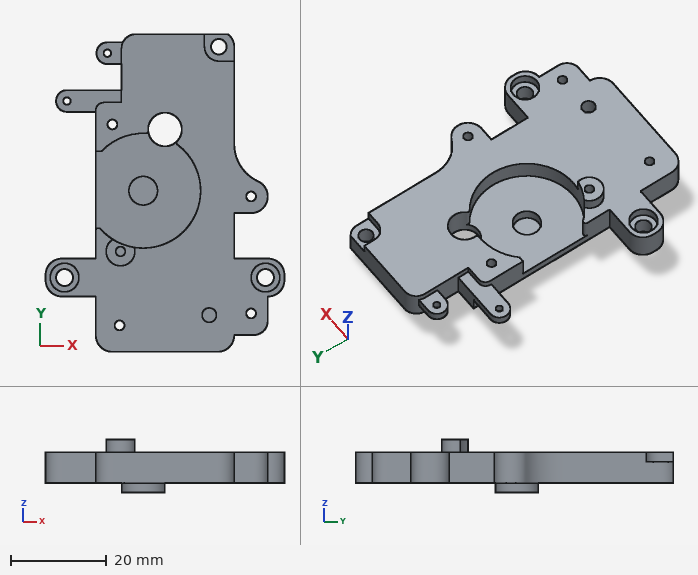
import cadquery as cq
import math


plate_height = 6.45
plate_width = 29.0
plate_length = 66.45
plate_corner_radius = 3.5
step_x = 5.4
step_corner_radius = 3.0

step_y = 52.15
step_round_radius = 1.75

ear_radius = 3.5
ear_width = 8.0
ear_y = 15.55
ear_hole_to_end = 4.0
ear_hole_xs = (-6.5, 35.5)
ear_hole_diameter = 3.5
counterbore_diameter = 6.0
counterbore_depth = 2.2

side_lug_x = 32.5
side_lug_y = 32.5
side_lug_radius = 3.5
side_lug_blend_radius = 8.5

block_right = side_lug_x + side_lug_radius
block_bottom = 3.5
block_corner_radius = 3.0

thin_lug_radius = 2.3
thin_lug_bottom = 3.0
thin_lug_top = 5.0
thin_lug_hole_diameter = 1.5
short_lug_center = (2.45, 62.45)
long_lug_center = (-6.0, 52.45)

corner_hole_center = (25.75, 63.8)
corner_hole_diameter = 3.2
corner_seat_radius = 3.0
corner_seat_depth = 2.0

pocket_center = (9.95, 33.7)
pocket_radius = 12.0
pocket_floor = 1.95
pocket_mouth_bottom = 25.9
pocket_mouth_top = 41.95
pocket_edge_radius = 0.5

shaft_hole_center = (14.5, 46.5)
shaft_hole_diameter = 7.0

cup_diameter = 9.0
cup_height = 2.0
cup_bore_diameter = 6.0
cup_floor_thickness = 1.5

boss_center = (5.2, 21.0)
boss_diameter = 6.0
boss_height = 2.7
screw_hole_diameter = 2.0
boss_hole_depth = 6.0

screw_hole_centers = (
    (3.5, 47.55),
    (5.0, 5.55),
    (side_lug_x, side_lug_y),
    (side_lug_x, 8.05),
)
pin_hole_center = (23.75, 7.7)
pin_hole_diameter = 3.0
pin_hole_depth = 4.0


def box(x_min, x_max, y_min, y_max, z_min, z_max):
    """Box given by its limits along each axis."""
    size = (x_max - x_min, y_max - y_min, z_max - z_min)
    return cq.Workplane("XY").box(*size, centered=False).translate((x_min, y_min, z_min))


def cylinder(center, diameter, z_min, z_max):
    """Upright cylinder between two heights."""
    return (
        cq.Workplane("XY", origin=(*center, z_min))
        .circle(diameter / 2)
        .extrude(z_max - z_min)
    )


def make_plate():
    """Main plate: full-width lower part and a narrower upper part."""
    lower = box(0, plate_width, 0, step_y, 0, plate_height)
    lower = lower.edges("|Z and <Y").fillet(plate_corner_radius)
    lower = lower.edges("|Z and <X and >Y").fillet(step_round_radius)
    upper = box(step_x, plate_width, step_y - step_round_radius, plate_length, 0, plate_height)
    upper = upper.edges("|Z and <X and >Y").fillet(step_corner_radius)
    return lower.union(upper).cut(make_corner_trim())


def make_corner_trim():
    """Material outside the arc that rounds the upper right corner about its hole."""
    hole_x, hole_y = corner_hole_center
    radius = plate_width - hole_x
    square = box(hole_x, plate_width, hole_y, plate_length, 0, plate_height)
    return square.cut(cylinder(corner_hole_center, 2 * radius, 0, plate_height))


def make_ears():
    """Bar across the plate whose rounded ends are the two mounting ears."""
    return box(
        ear_hole_xs[0] - ear_hole_to_end,
        ear_hole_xs[1] + ear_hole_to_end,
        ear_y - ear_width / 2,
        ear_y + ear_width / 2,
        0,
        plate_height,
    ).edges("|Z").fillet(ear_radius)


def make_lower_block():
    """Block at the lower right, rounded at its outer corner."""
    block = box(plate_width / 2, block_right, block_bottom, ear_y, 0, plate_height)
    return block.edges("|Z and >X and <Y").fillet(block_corner_radius)


def make_side_lug():
    """Round lug with a concave arc tangent to the lug and to the plate edge."""
    center_distance = side_lug_radius + side_lug_blend_radius
    blend_x = plate_width + side_lug_blend_radius
    blend_y = side_lug_y + math.sqrt(center_distance**2 - (blend_x - side_lug_x) ** 2)
    contact_share = side_lug_radius / center_distance
    contact = (
        side_lug_x + (blend_x - side_lug_x) * contact_share,
        side_lug_y + (blend_y - side_lug_y) * contact_share,
    )
    inner_x = plate_width - side_lug_radius
    lug_bottom = side_lug_y - side_lug_radius
    return (
        cq.Workplane("XY")
        .moveTo(inner_x, lug_bottom)
        .lineTo(side_lug_x, lug_bottom)
        .tangentArcPoint(contact, relative=False)
        .tangentArcPoint((plate_width, blend_y), relative=False)
        .lineTo(inner_x, blend_y)
        .close()
        .extrude(plate_height)
    )


def make_thin_lug(center):
    """Thin lug with a round end, reaching right to the upper part of the plate."""
    x, y = center
    arm = box(
        x,
        step_x + step_corner_radius,
        y - thin_lug_radius,
        y + thin_lug_radius,
        thin_lug_bottom,
        thin_lug_top,
    )
    return arm.union(cylinder(center, 2 * thin_lug_radius, thin_lug_bottom, thin_lug_top))


def make_long_lug_support():
    """Solid corner that fills the step below the long lug."""
    lug_y = long_lug_center[1]
    return box(0, step_x, lug_y - thin_lug_radius, lug_y + thin_lug_radius, 0, thin_lug_top)


def make_pocket(top):
    """Round pocket with its mouth to the left."""
    pocket = cylinder(pocket_center, 2 * pocket_radius, pocket_floor, top)
    mouth = box(0, pocket_center[0], pocket_mouth_bottom, pocket_mouth_top, pocket_floor, top)
    return pocket.union(mouth)


def pocket_shaft_crossings():
    """The two points where the pocket wall meets the wall of the shaft hole."""
    x, y = pocket_center
    dx = shaft_hole_center[0] - x
    dy = shaft_hole_center[1] - y
    distance = math.hypot(dx, dy)
    hole_radius = shaft_hole_diameter / 2
    along = (distance**2 + pocket_radius**2 - hole_radius**2) / (2 * distance)
    half_chord = math.sqrt(pocket_radius**2 - along**2)
    return [
        (
            x + (along * dx - offset * dy) / distance,
            y + (along * dy + offset * dx) / distance,
        )
        for offset in (half_chord, -half_chord)
    ]


def round_pocket_edges(solid):
    """Round the sharp upright edges at the shaft hole and at the lower end of the mouth."""
    middle_height = (pocket_floor + plate_height) / 2
    for x, y in [*pocket_shaft_crossings(), (0, pocket_mouth_bottom)]:
        nearest = cq.selectors.NearestToPointSelector((x, y, middle_height))
        solid = solid.edges("|Z").edges(nearest).fillet(pocket_edge_radius)
    return solid


def make_corner_seat():
    """Recess around the corner hole, open to the two outer edges."""
    x, y = corner_hole_center
    seat = box(
        x - corner_seat_radius,
        plate_width,
        y - corner_seat_radius,
        plate_length,
        plate_height - corner_seat_depth,
        plate_height,
    )
    return seat.edges("|Z and <X and <Y").fillet(corner_seat_radius)


boss_top = plate_height + boss_height

body = make_plate().union(make_ears()).union(make_lower_block()).union(make_side_lug())
body = body.union(make_long_lug_support())
for lug_center in (short_lug_center, long_lug_center):
    body = body.union(make_thin_lug(lug_center))
body = body.union(cylinder(boss_center, boss_diameter, 0, boss_top))
body = body.union(cylinder(pocket_center, cup_diameter, -cup_height, pocket_floor))

body = body.cut(make_pocket(boss_top))
body = body.cut(cylinder(shaft_hole_center, shaft_hole_diameter, 0, plate_height))
body = round_pocket_edges(body)
body = body.cut(make_corner_seat())
body = body.cut(cylinder(pocket_center, cup_bore_diameter, cup_floor_thickness - cup_height, boss_top))

body = body.cut(cylinder(corner_hole_center, corner_hole_diameter, 0, plate_height))
for hole_center in screw_hole_centers:
    body = body.cut(cylinder(hole_center, screw_hole_diameter, 0, plate_height))
for lug_center in (short_lug_center, long_lug_center):
    body = body.cut(cylinder(lug_center, thin_lug_hole_diameter, thin_lug_bottom, thin_lug_top))
for ear_x in ear_hole_xs:
    ear_center = (ear_x, ear_y)
    body = body.cut(cylinder(ear_center, ear_hole_diameter, 0, plate_height))
    body = body.cut(
        cylinder(ear_center, counterbore_diameter, plate_height - counterbore_depth, plate_height)
    )

body = body.cut(cylinder(boss_center, screw_hole_diameter, boss_top - boss_hole_depth, boss_top))
body = body.cut(
    cylinder(pin_hole_center, pin_hole_diameter, plate_height - pin_hole_depth, plate_height)
)

result = body